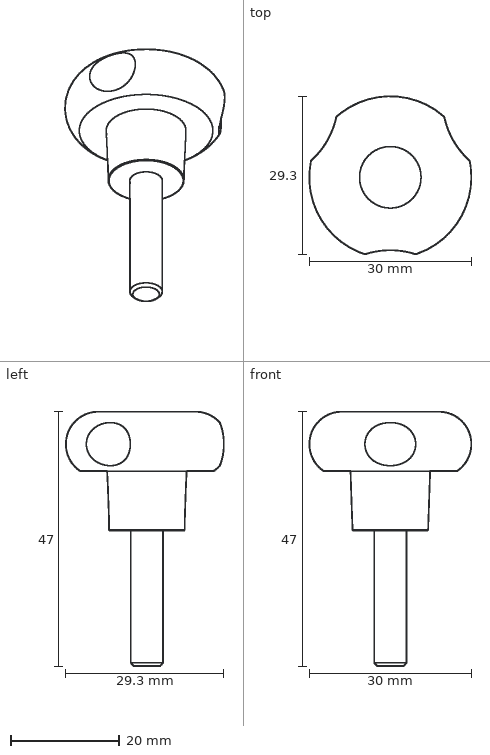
import cadquery as cq
import math

total_height = 47.0
head_height = 11.0
hub_height = 11.0
hub_top = total_height - head_height
hub_bottom = hub_top - hub_height

head_radius = 15.0
rim_radius = 6.0
dish_floor_radius = 5.7
rim_center_radius = head_radius - rim_radius
rim_center_z = total_height - rim_radius

hub_top_radius = 7.4
hub_bottom_radius = 7.0
hub_chamfer = 0.15

stem_radius = 3.0
tip_chamfer = 0.55

scallop_count = 3
scallop_radius = head_radius
scallop_depth = 1.5
first_scallop_angle = -90


def make_turned_body():
    """Revolve the half section of the stem, hub and head about Z."""
    underside_drop = rim_center_z - hub_top
    underside_radius = rim_center_radius + math.sqrt(rim_radius**2 - underside_drop**2)
    dish_offset = rim_center_radius - dish_floor_radius
    dish_floor_z = rim_center_z + math.sqrt(rim_radius**2 - dish_offset**2)

    section = (
        cq.Workplane("XZ")
        .lineTo(stem_radius - tip_chamfer, 0)
        .lineTo(stem_radius, tip_chamfer)
        .lineTo(stem_radius, hub_bottom)
        .lineTo(hub_bottom_radius - hub_chamfer, hub_bottom)
        .lineTo(hub_bottom_radius, hub_bottom + hub_chamfer)
        .lineTo(hub_top_radius, hub_top)
        .lineTo(underside_radius, hub_top)
        .threePointArc((head_radius, rim_center_z), (dish_floor_radius, dish_floor_z))
        .lineTo(0, dish_floor_z)
        .close()
    )
    return section.revolve(360, (0, 0, 0), (0, 1, 0))


def make_scallop_cutters():
    """Upright cylinders evenly spaced around the head, the first one on -Y."""
    axis_distance = head_radius - scallop_depth + scallop_radius
    return (
        cq.Workplane("XY", origin=(0, 0, hub_top))
        .polarArray(axis_distance, first_scallop_angle, 360, scallop_count)
        .circle(scallop_radius)
        .extrude(head_height)
    )


result = make_turned_body().cut(make_scallop_cutters())